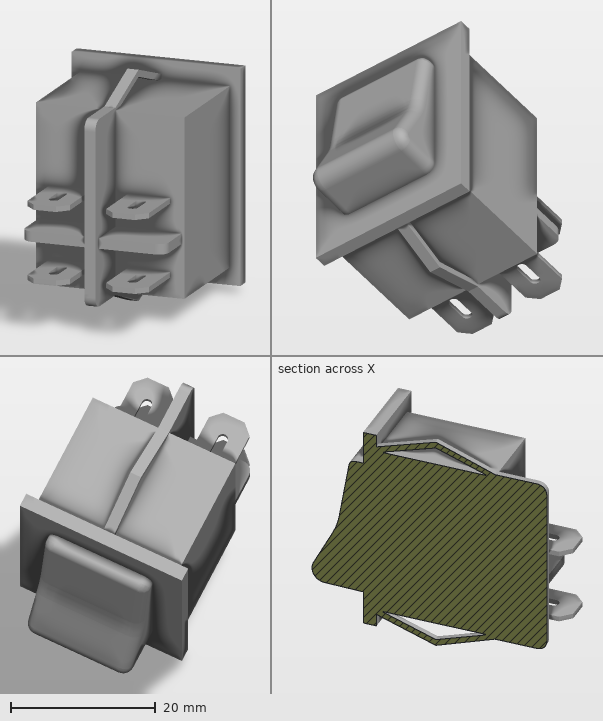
import cadquery as cq


bezel_width = 25.0
bezel_height = 31.15
bezel_thickness = 2.0
body_width = 22.0
body_height = 26.0
body_depth = 17.73

rocker_width = 16.0
rocker_top_z = 10.57
rocker_bottom_z = -10.5
rocker_top_y = 2.05
valley_y = 3.95
valley_z = -0.55
nose_y = 9.0
nose_z = -10.3
rocker_top_radius = 1.0
valley_radius = 10.0
nose_radius = 2.0
rocker_side_radius = 1.5

barrier_corner_radius = 1.5
upright_thickness = 1.65
upright_height = 26.9
upright_length = 7.8
cross_thickness = 1.5
cross_width = 21.3
cross_length = 6.5
cross_z = -4.4
clip_span = 33.2
clip_front_z = 13.7
clip_strip = 1.0
clip_rear_strip = 0.9

terminal_width = 6.3
terminal_thickness = 0.75
terminal_length = 10.0
terminal_chamfer = 1.5
terminal_pitch_x = 11.7
terminal_pitch_z = 10.6
slot_width = 1.5
slot_length = 4.5
slot_end_gap = 2.8


def box_between(width, y_low, y_high, height):
    """Box centred on X and Z that spans the given Y range."""
    return cq.Workplane("XY").box(width, y_high - y_low, height).translate((0, (y_low + y_high) / 2, 0))


def make_rocker():
    """Rocker with a bent front face, rounded corners and rounded side edges."""
    front = bezel_thickness
    profile = [
        (front, rocker_top_z),
        (front + rocker_top_y, rocker_top_z),
        (front + valley_y, valley_z),
        (front + nose_y, nose_z),
        (front, rocker_bottom_z),
    ]

    corner_radii = {
        1: rocker_top_radius,
        2: valley_radius,
        3: nose_radius,
    }
    rocker = cq.Workplane("YZ").polyline(profile).close().extrude(rocker_width / 2, both=True)
    for index, radius in corner_radii.items():
        y, z = profile[index]
        corner_edge = rocker.edges(cq.selectors.NearestToPointSelector((0, y, z)))
        rocker = corner_edge.fillet(radius)
    side_edges = rocker.faces("<X or >X").edges(cq.selectors.SubtractSelector(
        cq.selectors.StringSyntaxSelector("#X"),
        cq.selectors.StringSyntaxSelector("<Y"),
    ))
    return side_edges.fillet(rocker_side_radius)


def make_upright_barrier():
    """Rounded upright plate behind the body."""
    plate = box_between(upright_thickness, -body_depth - upright_length, -body_depth, upright_height)
    return plate.edges("|X and <Y").fillet(barrier_corner_radius)


def make_cross_barrier():
    """Rounded level plate between the two terminal rows."""
    plate = box_between(cross_width, -body_depth - cross_length, -body_depth, cross_thickness)
    return plate.edges("|Z and <Y").fillet(barrier_corner_radius).translate((0, 0, cross_z))


def make_clip():
    """Bent strip above the body, from the bezel to the upright barrier."""
    outer = [
        (0, clip_front_z),
        (-body_depth / 2, clip_span / 2),
        (-body_depth, upright_height / 2),
    ]
    inner = [
        (-body_depth, upright_height / 2 - clip_rear_strip),
        (-body_depth / 2, clip_span / 2 - clip_strip),
        (0, clip_front_z - clip_strip),
    ]
    return cq.Workplane("YZ").polyline(outer + inner).close().extrude(upright_thickness / 2, both=True)


def make_terminal():
    """Blade terminal with a chamfered tip and a long slot."""
    blade = box_between(terminal_width, -body_depth - terminal_length, -body_depth, terminal_thickness)
    blade = blade.edges("|Z and <Y").chamfer(terminal_chamfer)
    slot_y = -body_depth - terminal_length + slot_end_gap + slot_length / 2
    slot = (
        cq.Workplane("XY")
        .center(0, slot_y)
        .slot2D(slot_length, slot_width, 90)
        .extrude(terminal_thickness, both=True)
    )
    return blade.cut(slot)


clip = make_clip()
result = box_between(bezel_width, 0, bezel_thickness, bezel_height)
result = result.union(box_between(body_width, -body_depth, 0, body_height))
result = result.union(make_rocker())
result = result.union(make_upright_barrier())
result = result.union(make_cross_barrier())
result = result.union(clip).union(clip.mirror("XY"))

terminal = make_terminal()
for side in (-1, 1):
    for row in (-1, 1):
        offset = (side * terminal_pitch_x / 2, 0, cross_z + row * terminal_pitch_z / 2)
        result = result.union(terminal.translate(offset))